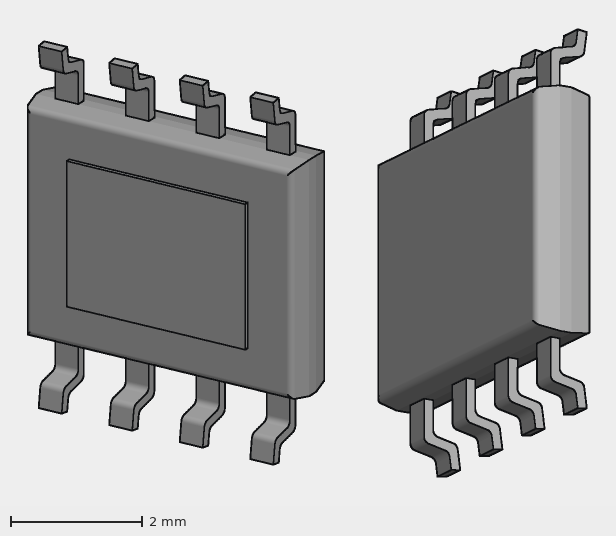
import cadquery as cq
import math


pad_length = 3.2
pad_width = 2.4
pad_thickness = 0.08

housing_length = 4.9
housing_width = 3.9
housing_bottom = pad_thickness
housing_top = 1.08
band_thickness = 0.2
side_draft = 10
housing_fillet = 0.1

lead_span = 6.02
lead_count = 4
lead_pitch = 1.265
lead_width = 0.415
lead_thickness = 0.16
riser_height = 2.635
riser_lean = math.radians(12)
foot_tilt = math.radians(8)
bend_radius = 0.1

band_bottom = (housing_bottom + housing_top - band_thickness) / 2
band_top = band_bottom + band_thickness
cap_height = housing_top - band_top


def make_cap(start, direction):
    """Tapered half of the housing that leaves the band at Y = start."""
    plane = cq.Plane(origin=(0, start, 0), xDir=(1, 0, 0), normal=(0, direction, 0))
    cap = cq.Workplane(plane).rect(housing_length, housing_width).extrude(cap_height, taper=side_draft)
    outer_face = ">Y" if direction > 0 else "<Y"
    return cap.faces(outer_face).edges().fillet(housing_fillet)


def make_housing():
    band = cq.Workplane("XY").box(housing_length, band_thickness, housing_width)
    band = band.translate((0, band_bottom + band_thickness / 2, 0))
    return band.union(make_cap(band_bottom, -1)).union(make_cap(band_top, 1))


def make_pad():
    pad = cq.Workplane("XY").box(pad_length, pad_thickness, pad_width)
    return pad.translate((0, pad_thickness / 2, 0))


def make_lead():
    """Gull-wing lead on the +Z side, centred on X = 0."""
    shank_front = band_bottom
    shank_back = shank_front + lead_thickness
    root_z = housing_width / 2
    tip_back_z = lead_span / 2

    tip_front_z = tip_back_z - lead_thickness * math.sin(foot_tilt)
    tip_back_y = lead_thickness * math.cos(foot_tilt)

    riser_slope = math.tan(riser_lean)
    foot_slope = math.tan(foot_tilt)
    inner_riser_height = riser_height - lead_thickness / math.cos(riser_lean)

    def riser_to_foot(riser_z, tip_y, tip_z):
        """Corner where a riser side, at riser_z above the shank back, meets a foot side."""
        y = tip_y + foot_slope * (tip_z - riser_z - riser_slope * shank_back)
        y /= 1 - foot_slope * riser_slope
        return y, riser_z + riser_slope * (shank_back - y)

    outline = [
        (shank_back, root_z),
        (shank_back, riser_height),
        riser_to_foot(riser_height, tip_back_y, tip_back_z),
        (tip_back_y, tip_back_z),
        (0, tip_front_z),
        riser_to_foot(inner_riser_height, 0, tip_front_z),
        (shank_front, inner_riser_height + riser_slope * lead_thickness),
        (shank_front, root_z),
    ]
    lead = cq.Workplane("YZ").polyline(outline).close().extrude(lead_width / 2, both=True)

    bends = lead.edges("|X").sort(lambda edge: edge.Center().z)[2:-2]
    return bends.fillet(bend_radius)


def make_leads():
    lead = make_lead()
    leads = []
    for row_lead in (lead, lead.mirror("XY")):
        for index in range(lead_count):
            x = (index - (lead_count - 1) / 2) * lead_pitch
            leads.append(row_lead.translate((x, 0, 0)).val())
    return leads


housing = make_housing()
pad = make_pad()
leads = make_leads()

result = cq.Compound.makeCompound([housing.val(), pad.val(), *leads])